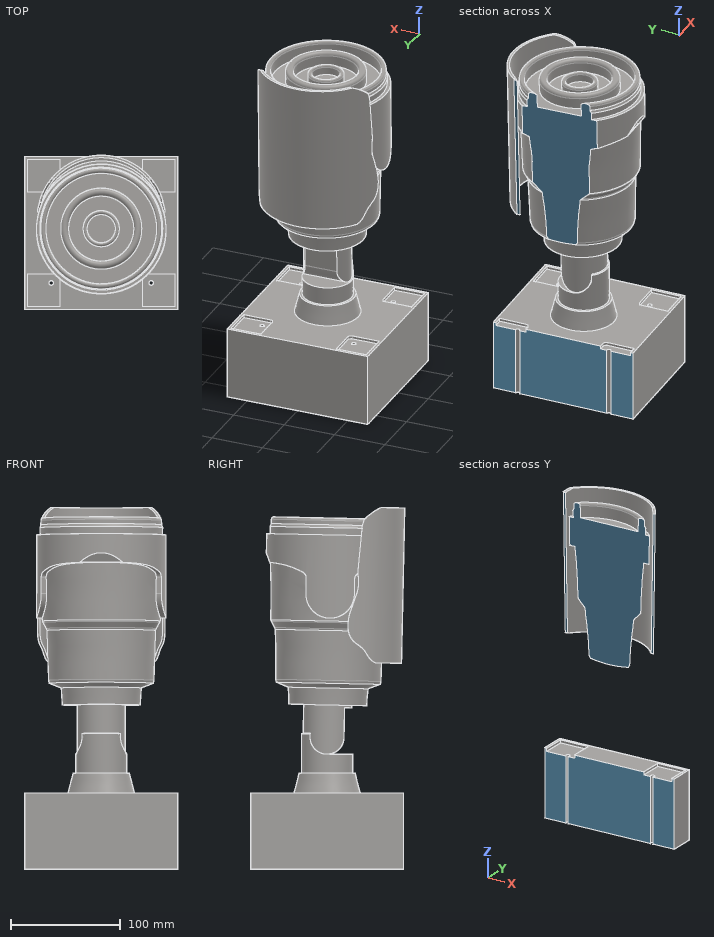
import cadquery as cq
import math

base_side = 139.5
base_height = 69.5
tilt_angle = 1.2
hinge_y = 0.0
hinge_z = 120.5
hinge_radius = 15.5

pocket_side = 29.7
pocket_margin = 2.5
pocket_depth = 3.0
pocket_corner_radius = 3.3
hole_diameter = 4.0
hole_offset = 45.5

cone_bottom_radius = 30.5
cone_top_radius = 25.7
cone_top_z = 87.8
stand_radius = 23.5
stand_wall_top_z = 123.8
stand_back_top_z = hinge_z - hinge_radius

neck_radius = 22.0
neck_stub_z = 147.5

collar_bottom_z = 150.0
collar_top_z = 165.5
collar_bottom_radius = 35.5
collar_top_radius = 36.5
barrel_edge_z = 169.5
barrel_edge_radius = 47.5
barrel_bottom_z = 172.3
barrel_bottom_radius = 48.2
barrel_top_z = 218.0
barrel_top_radius = 49.5
step_bottom_z = 219.5
step_bottom_radius = 50.2
step_top_z = 225.0
step_top_radius = 53.0
housing_bottom_z = 226.5
housing_bottom_radius = 53.8
housing_top_z = 311.5
housing_top_radius = 56.0
rim_bottom_z = 314.2
rim_radius = 55.0
rim_top_z = 320.5
rim_inner_radius = 50.5
face_z = 306.5

large_ring_outer_radius = 37.0
large_ring_inner_radius = 29.7
small_ring_outer_radius = 16.5
small_ring_inner_radius = 13.0
small_ring_top_z = 316.0

band_radius = 59.0
band_top_z = 305.0
tongue_half_width = 22.0
tongue_straight_bottom_z = 251.2
tongue_shoulder_z = 266.0
band_lip_z = 287.5

shield_radius = 59.0
shield_thickness = 2.3
shield_axis_y = 7.5
shield_top_z = 331.0
shield_bottom_z = 189.0


def make_base():
    """Square base with corner pockets, carrying the cone and the hinge stand."""
    half_side = base_side / 2
    base = cq.Workplane("XY").box(base_side, base_side, base_height, centered=(True, True, False))

    pocket_offset = half_side - pocket_margin - pocket_side / 2
    for side_x in (-1, 1):
        for side_y in (-1, 1):
            pocket = (
                cq.Workplane("XY")
                .box(pocket_side, pocket_side, pocket_depth, centered=(True, True, False))
                .translate((side_x * pocket_offset, side_y * pocket_offset, base_height - pocket_depth))
            )
            inner_edge = cq.selectors.NearestToPointSelector((0, 0, base_height))
            pocket = pocket.edges("|Z").edges(inner_edge).fillet(pocket_corner_radius)
            hole = (
                cq.Workplane("XY")
                .center(side_x * hole_offset, side_y * hole_offset)
                .circle(hole_diameter / 2)
                .extrude(base_height)
            )
            base = base.cut(pocket).cut(hole)

    cone = (
        cq.Workplane("XZ")
        .moveTo(0, base_height)
        .lineTo(cone_bottom_radius, base_height)
        .lineTo(cone_top_radius, cone_top_z)
        .lineTo(0, cone_top_z)
        .close()
        .revolve(360, (0, 0, 0), (0, 1, 0))
    )
    return base.union(cone).union(make_stand())


def make_stand():
    """Post cut away behind, leaving a front wall with a round hinge seat."""
    post = (
        cq.Workplane("XY", origin=(0, 0, cone_top_z))
        .circle(stand_radius)
        .extrude(stand_wall_top_z - cone_top_z)
    )
    clearance = (
        cq.Workplane("YZ")
        .moveTo(hinge_y - hinge_radius, stand_wall_top_z)
        .lineTo(hinge_y - hinge_radius, hinge_z)
        .threePointArc(
            (hinge_y - hinge_radius * math.sqrt(0.5), hinge_z - hinge_radius * math.sqrt(0.5)),
            (hinge_y, stand_back_top_z),
        )
        .lineTo(stand_radius, stand_back_top_z)
        .lineTo(stand_radius, stand_wall_top_z)
        .close()
        .extrude(stand_radius, both=True)
    )
    return post.cut(clearance)


def make_barrel():
    """Turned camera barrel with a round-edged rim and a recessed face."""
    rim_edge_radius = (rim_radius - rim_inner_radius) / 2
    rim_edge_z = rim_top_z - rim_edge_radius
    return (
        cq.Workplane("XZ")
        .moveTo(0, collar_bottom_z)
        .lineTo(collar_bottom_radius, collar_bottom_z)
        .lineTo(collar_top_radius, collar_top_z)
        .lineTo(barrel_edge_radius, barrel_edge_z)
        .lineTo(barrel_bottom_radius, barrel_bottom_z)
        .lineTo(barrel_top_radius, barrel_top_z)
        .lineTo(step_bottom_radius, step_bottom_z)
        .lineTo(step_top_radius, step_top_z)
        .lineTo(housing_bottom_radius, housing_bottom_z)
        .lineTo(housing_top_radius, housing_top_z)
        .lineTo(rim_radius, rim_bottom_z)
        .lineTo(rim_radius, rim_edge_z)
        .threePointArc((rim_radius - rim_edge_radius, rim_top_z), (rim_inner_radius, rim_edge_z))
        .lineTo(rim_inner_radius, face_z)
        .lineTo(0, face_z)
        .close()
        .revolve(360, (0, 0, 0), (0, 1, 0))
    )


def make_ring(inner_radius, outer_radius, top_z):
    """Ring with a fully rounded top, standing on the camera face."""
    round_radius = (outer_radius - inner_radius) / 2
    round_z = top_z - round_radius
    return (
        cq.Workplane("XZ")
        .moveTo(inner_radius, face_z)
        .lineTo(outer_radius, face_z)
        .lineTo(outer_radius, round_z)
        .threePointArc((outer_radius - round_radius, top_z), (inner_radius, round_z))
        .close()
        .revolve(360, (0, 0, 0), (0, 1, 0))
    )


def make_band():
    """Raised collar round the housing, shaped by a side outline that runs along X."""
    ring = (
        cq.Workplane("XY", origin=(0, 0, housing_bottom_z))
        .circle(band_radius)
        .circle(housing_bottom_radius)
        .extrude(band_top_z - housing_bottom_z)
    )
    tongue_bottom_z = tongue_straight_bottom_z - tongue_half_width
    shoulder_curve = [(23.8, 269.5), (27.7, 271.5), (36.5, 275.3), (46.2, 277.5), (55.8, 279.0)]
    lip_y, lip_bottom_z = shoulder_curve[-1]
    front_curve = [(-y, z) for y, z in reversed(shoulder_curve[:-1])]
    front_curve.append((-tongue_half_width, tongue_shoulder_z))
    outline = (
        cq.Workplane("YZ")
        .moveTo(-band_radius, band_top_z)
        .lineTo(-band_radius, band_lip_z)
        .lineTo(-lip_y, lip_bottom_z)
        .spline(front_curve, includeCurrent=True)
        .lineTo(-tongue_half_width, tongue_straight_bottom_z)
        .threePointArc((0, tongue_bottom_z), (tongue_half_width, tongue_straight_bottom_z))
        .lineTo(tongue_half_width, tongue_shoulder_z)
        .spline(shoulder_curve, includeCurrent=True)
        .lineTo(band_radius, band_lip_z)
        .lineTo(band_radius, band_top_z)
        .close()
        .extrude(band_radius, both=True)
    )
    return ring.intersect(outline)


def make_neck():
    """Round neck whose lower end is trimmed to a tongue with a round hinge end."""
    post_bottom_z = hinge_z - hinge_radius
    post = (
        cq.Workplane("XY", origin=(0, 0, post_bottom_z))
        .circle(neck_radius)
        .extrude(collar_bottom_z - post_bottom_z)
    )
    outline = (
        cq.Workplane("YZ")
        .moveTo(-neck_radius, collar_bottom_z)
        .lineTo(-neck_radius, stand_wall_top_z)
        .lineTo(-hinge_radius, stand_wall_top_z)
        .lineTo(-hinge_radius, hinge_z)
        .threePointArc((0, post_bottom_z), (hinge_radius, hinge_z))
        .lineTo(hinge_radius, neck_stub_z)
        .lineTo(neck_radius, neck_stub_z)
        .lineTo(neck_radius, collar_bottom_z)
        .close()
        .extrude(neck_radius, both=True)
    )
    return post.intersect(outline)


def make_camera():
    """Camera barrel with its face rings, raised band and neck."""
    return (
        make_barrel()
        .union(make_ring(large_ring_inner_radius, large_ring_outer_radius, rim_top_z))
        .union(make_ring(small_ring_inner_radius, small_ring_outer_radius, small_ring_top_z))
        .union(make_band())
        .union(make_neck())
    )


def make_sunshield():
    """Thin shell behind the camera, trimmed by a side outline that runs along X."""
    shell = (
        cq.Workplane("XY", origin=(0, shield_axis_y, shield_bottom_z))
        .circle(shield_radius)
        .circle(shield_radius - shield_thickness)
        .extrude(shield_top_z - shield_bottom_z)
    )
    top_corner = (45.0, shield_top_z)
    top_curve_middle = (37.3, 326.5)
    top_curve_end = (29.7, 320.0)
    side_edge_top = (28.0, 314.2)
    side_edge_bottom = (24.8, 270.0)
    side_curve = [
        (23.0, 248.0),
        (16.8, 224.5),
        (21.0, 209.5),
        (31.7, 201.0),
        (37.3, 193.0),
        (42.5, shield_bottom_z),
    ]
    back_y = shield_axis_y + shield_radius
    outline = (
        cq.Workplane("YZ")
        .moveTo(back_y, shield_top_z)
        .lineTo(*top_corner)
        .threePointArc(top_curve_middle, top_curve_end)
        .lineTo(*side_edge_top)
        .lineTo(*side_edge_bottom)
        .spline(side_curve, includeCurrent=True)
        .lineTo(back_y, shield_bottom_z)
        .close()
        .extrude(shield_radius, both=True)
    )
    return shell.intersect(outline)


def tilt_back(body):
    """Tilt an upright body about the hinge and set it on the hinge line."""
    return body.rotate((0, 0, hinge_z), (1, 0, hinge_z), -tilt_angle).translate((0, hinge_y, 0))


base = make_base()
camera = tilt_back(make_camera())
sunshield = tilt_back(make_sunshield())

result = cq.Compound.makeCompound([base.val(), camera.val(), sunshield.val()])